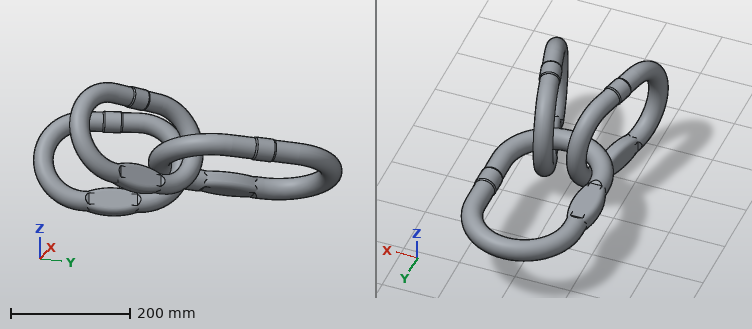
import cadquery as cq
import math

overall_length = 510

master_wire = 36.0
master_inside_width = 140.0
master_straight = 120.0
master_collar = 39.0
master_grip = 50.0

sub_wire = 33.0
sub_inside_width = 109.5
sub_straight = 90.0
sub_collar = 35.5
sub_grip = 46.0
sub_spread_angle = 15
sub_center_x = 60.0
sub_center_z = 2.5

COLLAR_LENGTH = 1.0
COLLAR_TAPER = 0.085
GRIP_THICKNESS = 0.8
GRIP_EDGE_RADIUS = 0.25
GRIP_END_WIDTH = 0.86
GRIP_HALF_LENGTH = 1.36
FLAT_HALF_LENGTH = 1.23
RAMP_LENGTH = 0.18


def bend_radius(wire, inside_width):
    """Radius of the wire's centre line in the two half-round ends."""
    return (inside_width + wire) / 2


def wire_loop(wire, radius, straight):
    """Round wire bent into an oval: two straight sides along Y joined by half circles."""
    half = straight / 2
    path = (
        cq.Workplane("XY")
        .moveTo(radius, -half)
        .lineTo(radius, half)
        .threePointArc((0, half + radius), (-radius, half))
        .lineTo(-radius, -half)
        .threePointArc((0, -half - radius), (radius, -half))
        .close()
    )
    return cq.Workplane("XZ", origin=(radius, -half, 0)).circle(wire / 2).sweep(path)


def weld_collar(wire, radius, diameter):
    """Thicker band with tapered ends around the middle of the +X side."""
    half_length = COLLAR_LENGTH * wire / 2
    shoulder = half_length - COLLAR_TAPER * wire
    return (
        cq.Workplane("XY")
        .moveTo(0, -half_length)
        .lineTo(wire / 2, -half_length)
        .lineTo(diameter / 2, -shoulder)
        .lineTo(diameter / 2, shoulder)
        .lineTo(wire / 2, half_length)
        .lineTo(0, half_length)
        .close()
        .revolve(360, (0, 0, 0), (0, 1, 0))
        .translate((radius, 0, 0))
    )


def grip_flat_cutter(wire, radius):
    """Stock removed above the grip's flat face, with a ramp up to the wire at each end."""
    flat_z = GRIP_THICKNESS * wire / 2
    flat_half = FLAT_HALF_LENGTH * wire
    ramp_slope = RAMP_LENGTH * wire / (wire / 2 - flat_z)
    top_z = wire
    top_half = flat_half + ramp_slope * (top_z - flat_z)
    return (
        cq.Workplane("YZ")
        .polyline([(-flat_half, flat_z), (flat_half, flat_z), (top_half, top_z), (-top_half, top_z)])
        .close()
        .extrude(wire / 2, both=True)
        .translate((-radius, 0, 0))
    )


def grip_bulge(wire, radius, width):
    """Flat tag, bowed outward on both sides, with rounded edges; its ends lie inside the wire."""
    half_length = GRIP_HALF_LENGTH * wire
    end_half_width = GRIP_END_WIDTH * wire / 2
    return (
        cq.Workplane("XY")
        .moveTo(end_half_width, -half_length)
        .threePointArc((width / 2, 0), (end_half_width, half_length))
        .lineTo(-end_half_width, half_length)
        .threePointArc((-width / 2, 0), (-end_half_width, -half_length))
        .close()
        .extrude(GRIP_THICKNESS * wire / 2, both=True)
        .edges("%CIRCLE")
        .fillet(GRIP_EDGE_RADIUS * wire)
        .translate((-radius, 0, 0))
    )


def chain_link(wire, inside_width, straight, collar_diameter, grip_width):
    """Complete link in the XY plane: grip on the -X side, collar on the +X side."""
    radius = bend_radius(wire, inside_width)
    cutter = grip_flat_cutter(wire, radius)
    return (
        wire_loop(wire, radius, straight)
        .cut(cutter)
        .cut(cutter.mirror("XY"))
        .union(grip_bulge(wire, radius, grip_width))
        .union(weld_collar(wire, radius, collar_diameter))
    )


def half_centerline(wire, inside_width, straight):
    """Distance from a link's middle to the wire centre at its far end."""
    return straight / 2 + bend_radius(wire, inside_width)


master_top = half_centerline(master_wire, master_inside_width, master_straight) + master_wire / 2
sub_reach_y = (
    half_centerline(sub_wire, sub_inside_width, sub_straight) * math.cos(math.radians(sub_spread_angle))
    + sub_wire / 2
)
sub_center_y = master_top - overall_length + sub_reach_y


def sublink(side):
    """Sublink with its grip below and collar above; side is -1 for the left leg, +1 for the right."""
    return (
        chain_link(sub_wire, sub_inside_width, sub_straight, sub_collar, sub_grip)
        .rotate((0, 0, 0), (0, 1, 0), -90)
        .rotate((0, 0, 0), (0, 0, 1), side * sub_spread_angle)
        .translate((side * sub_center_x, sub_center_y, sub_center_z))
    )


master_link = chain_link(master_wire, master_inside_width, master_straight, master_collar, master_grip)
sublinks = [sublink(side) for side in (-1, 1)]

result = cq.Compound.makeCompound([master_link.val(), *[link.val() for link in sublinks]])